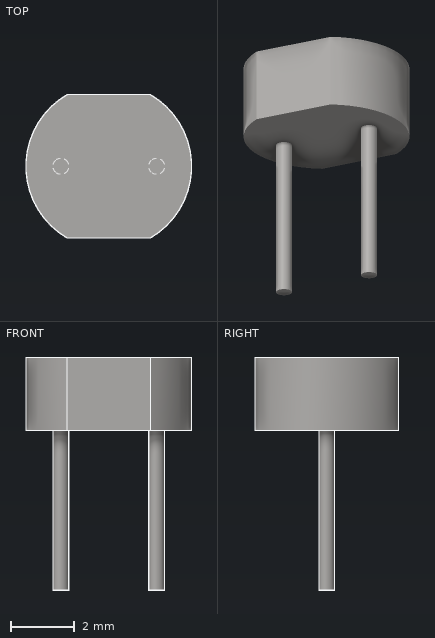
import cadquery as cq

body_diameter = 5.2
body_width_across_flats = 4.5
body_height = 2.3

lead_diameter = 0.5
lead_length = 5.0
lead_pitch = 3.0


def make_body():
    """Disc trimmed by flats facing -Y and +Y."""
    disc = cq.Workplane("XY").circle(body_diameter / 2).extrude(body_height)
    flat_limits = cq.Workplane("XY").rect(body_diameter, body_width_across_flats).extrude(body_height)
    return disc.intersect(flat_limits)


def make_leads():
    """Pair of round leads spaced along X, running down from the body's underside."""
    lead_centers = [(-lead_pitch / 2, 0), (lead_pitch / 2, 0)]
    return cq.Workplane("XY").pushPoints(lead_centers).circle(lead_diameter / 2).extrude(-lead_length)


result = make_body().union(make_leads())